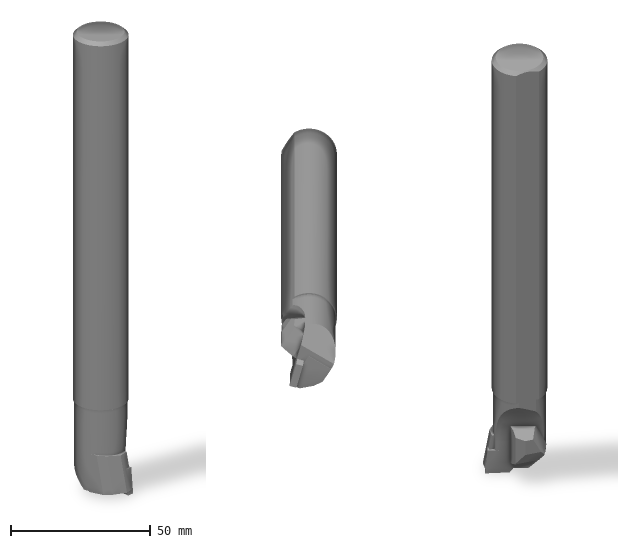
import cadquery as cq
import math

total_length = 180.0
overall_width = 23.0
shank_radius = 20.0 / 2
neck_radius = 19.0 / 2
neck_top = 34.7
bar_bottom = 2.2
flat_y = 9.0
chamfer_radial = 1.5
chamfer_height = 1.3

relief_rise = 7.5

tip_x = overall_width - shank_radius
pocket_angle = 17.0
pocket_curve_start = 14.4
pocket_curve_radius = 31.7
pocket_curve_end = 36.0
pocket_half_width = 36.0
pocket_base = -9.0

support_bottom = 1.8
support_top = 17.0
support_lean = 2.7
support_x = 0.2
support_drop_x = 2.2
support_drop = 1.3
support_facets = [(3.2, -neck_radius), (6.3, -7.7), (9.9, -4.0), (10.3, 0)]

lug_top_y = flat_y + 1.71
lug_top = 21.0
lug_bottom = 5.0
lug_base_y = 1.8
lug_shoulder_y = 6.0
lug_outer_profile = [
    (6.7, lug_top), (lug_top_y, 18.7), (lug_top_y, 12.6), (8.8, 8.0), (4.0, lug_bottom),
]
lug_top_x = 1.5
lug_end_x = 4.5
lug_lean = 0.5
lug_left_x = -8.3
lug_lower_x = -4.5
lug_chamfer_top = 12.8
lug_chamfer_bottom = lug_chamfer_top - (lug_lower_x - lug_left_x)

insert_thickness = 2.5
insert_width = 10.0
insert_height = 10.0
insert_skew = 0.9
insert_corner = 1.3
insert_corner_rise = 0.27
insert_lower_side = 1.8


def prism(plane, points, depth):
    return cq.Workplane(plane).polyline(points).close().extrude(depth)


def pocket_plane():
    """Plane on the pocket floor: local X along the floor, local Y up the bar."""
    angle = math.radians(pocket_angle)
    normal = (math.sin(angle), math.cos(angle), 0)
    origin = (tip_x, 0, 0)
    return cq.Plane(origin, (math.cos(angle), -math.sin(angle), 0), (-normal[0], -normal[1], 0))


def make_blank():
    shank_top_radius = shank_radius - chamfer_radial
    blank = (
        cq.Workplane("XZ")
        .moveTo(0, bar_bottom)
        .lineTo(neck_radius, bar_bottom)
        .lineTo(neck_radius, neck_top)
        .lineTo(shank_radius, neck_top)
        .lineTo(shank_radius, total_length - chamfer_height)
        .lineTo(shank_top_radius, total_length)
        .lineTo(0, total_length)
        .close()
        .revolve(360, (0, 0, 0), (0, 1, 0))
    )
    flat_cut = cq.Workplane("XY").box(
        4 * shank_radius, shank_radius, total_length, centered=(True, False, False)
    ).translate((0, flat_y, 0))
    return blank.cut(flat_cut)


def make_support():
    top_outline = [(support_x, 0), (support_x, -neck_radius), *support_facets]
    bottom_outline = [(x if x == support_x else x + support_lean, y) for x, y in top_outline]
    support = (
        cq.Workplane("XY", origin=(0, 0, support_bottom))
        .polyline(bottom_outline)
        .close()
        .workplane(offset=support_top - support_bottom)
        .polyline(top_outline)
        .close()
        .loft(ruled=True)
    )
    top_wedge = [
        (support_drop_x, support_top), (tip_x, support_top - support_drop), (tip_x, support_top),
    ]
    return support.cut(prism("XZ", top_wedge, 2 * neck_radius))


def make_pocket_cut():
    angle = math.radians(pocket_angle)
    section_plane = cq.Plane(
        (tip_x, 0, 0), (math.sin(angle), math.cos(angle), 0), (math.cos(angle), -math.sin(angle), 0)
    )

    def curve_height(z):
        run = z - pocket_curve_start
        return pocket_curve_radius - math.sqrt(pocket_curve_radius**2 - run**2)

    middle = (pocket_curve_start + pocket_curve_end) / 2
    outer = 2 * shank_radius
    return (
        cq.Workplane(section_plane)
        .moveTo(0, pocket_base)
        .lineTo(0, pocket_curve_start)
        .threePointArc(
            (curve_height(middle), middle),
            (curve_height(pocket_curve_end), pocket_curve_end),
        )
        .lineTo(outer, pocket_curve_end)
        .lineTo(outer, pocket_base)
        .close()
        .extrude(pocket_half_width, both=True)
    )


def make_relief_cut():
    slope_end_x = relief_rise - neck_radius
    profile = [
        (-neck_radius, bar_bottom + relief_rise), (slope_end_x, bar_bottom),
        (slope_end_x, 0), (-2 * neck_radius, 0), (-2 * neck_radius, bar_bottom + relief_rise),
    ]
    return prism("XZ", profile, 2 * neck_radius).translate((0, neck_radius, 0))


def make_lug():
    side_profile = [
        (lug_base_y, lug_top), *lug_outer_profile, (lug_base_y, lug_bottom),
    ]
    side = prism("YZ", side_profile, 4 * neck_radius).translate((-2 * neck_radius, 0, 0))

    def plan(z):
        shift = lug_lean * (z - lug_chamfer_top)
        return (
            cq.Workplane("XY", origin=(0, 0, z))
            .polyline([
                (lug_left_x + shift, lug_base_y), (lug_left_x + shift, lug_shoulder_y),
                (lug_lower_x + shift, lug_top_y), (lug_top_x, lug_top_y),
                (lug_end_x, flat_y), (lug_end_x, lug_base_y),
            ])
            .close()
            .val()
        )

    plan_body = cq.Workplane(cq.Solid.makeLoft([plan(lug_bottom), plan(lug_top)], True))
    face_profile = [
        (lug_left_x, lug_top), (lug_left_x, lug_chamfer_top), (lug_lower_x, lug_chamfer_bottom),
        (lug_lower_x, lug_bottom), (lug_end_x, lug_bottom), (lug_end_x, lug_top),
    ]
    face = prism("XZ", face_profile, -2 * neck_radius)
    below_floor = cq.Workplane(pocket_plane()).rect(2 * neck_top, 2 * neck_top).extrude(neck_top)
    return side.intersect(plan_body).intersect(face).cut(below_floor)


def make_insert():
    left = -insert_width
    outline = [
        (0, 0), (left + insert_corner, insert_corner_rise), (left, insert_lower_side),
        (left - insert_skew, insert_height), (-insert_skew, insert_height),
    ]
    return prism(pocket_plane(), outline, insert_thickness)


insert = make_insert()
holder = (
    make_blank()
    .union(make_support())
    .cut(make_relief_cut())
    .cut(make_pocket_cut())
    .cut(insert)
    .union(make_lug())
)

result = cq.Compound.makeCompound([holder.val(), insert.val()])